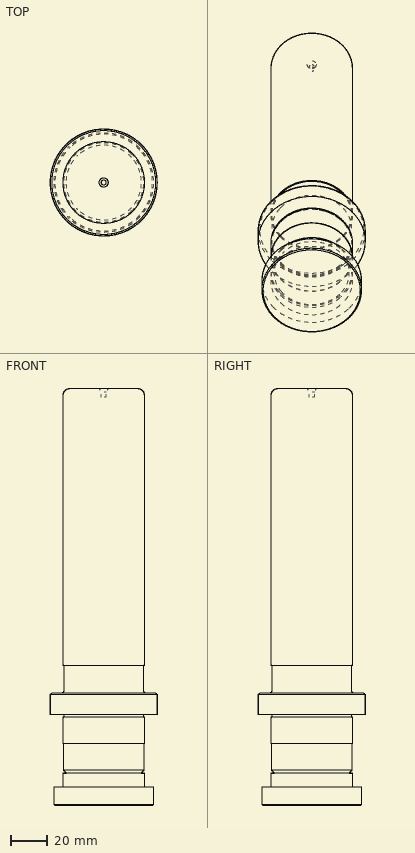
import cadquery as cq

total_height = 230.0
shaft_diameter = 45.0
shaft_bottom_z = 77.3
top_round = 4.0

neck_diameter = 44.0
neck_fillet = 1.4

collar_diameter = 59.0
collar_bottom_z = 50.1
collar_thickness = 12.0
collar_top_z = collar_bottom_z + collar_thickness
collar_chamfer = 1.0

undercut_width = 1.4
lead_diameter = 44.6
lead_top_z = 34.3
spigot_chamfer = 1.5

centre_diameter = 2.8
centre_mouth_diameter = 5.0
centre_mouth_angle = 60
centre_depth = 4.5

cap_height = 18.0
cap_flange_diameter = 55.0
cap_flange_thickness = 10.4
cap_chamfer = 0.7


def cylinder(diameter, bottom_z, top_z):
    """Cylinder on the Z axis between two heights."""
    return cq.Workplane("XY").workplane(offset=bottom_z).circle(diameter / 2).extrude(top_z - bottom_z)


def make_shaft():
    """Guide shaft with a rounded top edge."""
    shaft = cylinder(shaft_diameter, shaft_bottom_z, total_height)
    return shaft.faces(">Z").edges().fillet(top_round)


def make_neck():
    """Neck with a concave fillet running into the collar."""
    neck_radius = neck_diameter / 2
    fillet_offset = neck_fillet * (1 - 0.5 ** 0.5)
    return (
        cq.Workplane("XZ")
        .moveTo(0, collar_top_z)
        .lineTo(neck_radius + neck_fillet, collar_top_z)
        .threePointArc(
            (neck_radius + fillet_offset, collar_top_z + fillet_offset),
            (neck_radius, collar_top_z + neck_fillet),
        )
        .lineTo(neck_radius, shaft_bottom_z)
        .lineTo(0, shaft_bottom_z)
        .close()
        .revolve(360, (0, 0, 0), (0, 1, 0))
    )


def make_collar():
    """Collar with a chamfered top rim."""
    collar = cylinder(collar_diameter, collar_bottom_z, collar_top_z)
    return collar.faces(">Z").edges().chamfer(collar_chamfer)


def make_spigot():
    """Fitting diameter with an undercut at the collar and a chamfered lead."""
    fit_top_z = collar_bottom_z - undercut_width
    undercut = cylinder(neck_diameter, fit_top_z, collar_bottom_z)
    fit = cylinder(shaft_diameter, lead_top_z, fit_top_z)
    lead = cylinder(lead_diameter, cap_height, lead_top_z)
    lead = lead.faces("<Z").edges().chamfer(spigot_chamfer)
    return lead.union(fit).union(undercut)


def make_pillar():
    """Guide pillar with a countersunk centre hole in its top."""
    pillar = make_shaft().union(make_neck()).union(make_collar()).union(make_spigot())
    return (
        pillar.faces(">Z")
        .workplane(origin=(0, 0, total_height))
        .cskHole(centre_diameter, centre_mouth_diameter, centre_mouth_angle, depth=centre_depth)
    )


def make_end_cap():
    """Flanged cap seated against the lower end of the pillar."""
    flange = cylinder(cap_flange_diameter, 0, cap_flange_thickness)
    flange = flange.faces("<Z").edges().chamfer(cap_chamfer)
    return flange.union(cylinder(shaft_diameter, cap_flange_thickness, cap_height))


pillar = make_pillar()
end_cap = make_end_cap()
result = cq.Compound.makeCompound([pillar.val(), end_cap.val()])